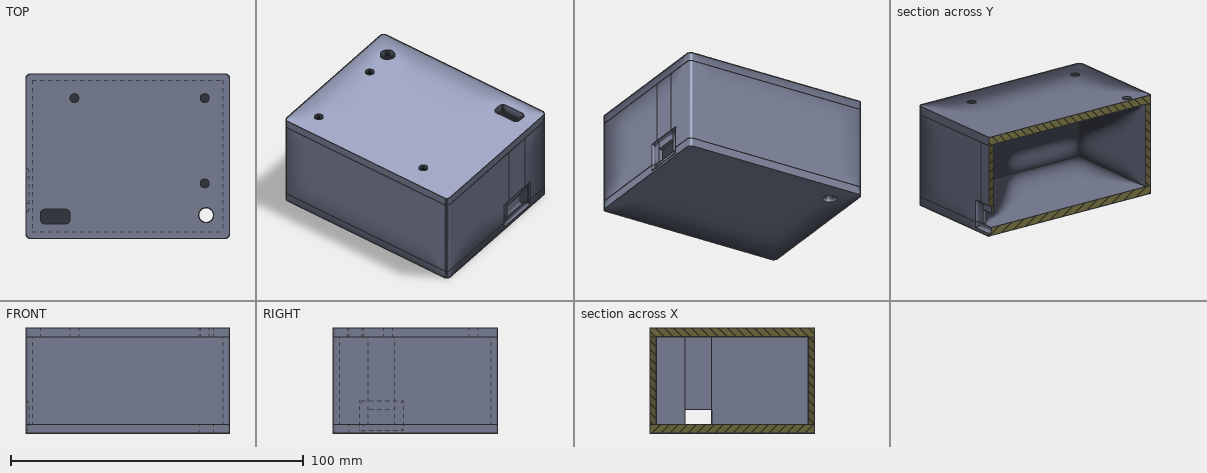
import cadquery as cq

length = 69.5
width = 56.2
height = 36.0
corner_radius = 1.5
plate_thickness = 3.05
wall_thickness = 2.2
lid_bottom = height - plate_thickness

small_hole_diameter = 3.0
small_hole_left_x = 16.55
small_hole_right_x = 61.0
small_hole_back_y = 47.95
small_hole_front_y = 18.8
small_hole_centers = [
    (small_hole_left_x, small_hole_back_y),
    (small_hole_right_x, small_hole_back_y),
    (small_hole_right_x, small_hole_front_y),
]
through_hole_diameter = 5.0
through_hole_center = (61.5, 8.0)

slot_length = 10.0
slot_width = 5.0
slot_corner_radius = 1.5
slot_center = (10.0, 7.5)

port_center_y = 16.55
strip_width = 9.05
strip_bottom = 8.1
recess_width = 15.0
recess_height = 10.0
recess_bottom = 1.05
recess_depth = 1.0
recess_fillet = recess_depth
recess_overshoot = 0.7


def rounded_block(bottom, block_height):
    """Full-footprint block with rounded vertical edges."""
    return (
        cq.Workplane("XY", origin=(0, 0, bottom))
        .box(length, width, block_height, centered=False)
        .edges("|Z")
        .fillet(corner_radius)
    )


def wall_passage(bottom, passage_height):
    """Strip-wide block spanning the thickness of the -X wall."""
    return cq.Workplane("XY", origin=(0, port_center_y - strip_width / 2, bottom)).box(
        wall_thickness, strip_width, passage_height, centered=False
    )


def make_port_recess():
    """Rectangular recess in the -X face, with a concave fillet around its flat floor."""
    center_z = recess_bottom + recess_height / 2
    return (
        cq.Workplane("YZ", origin=(-recess_overshoot, port_center_y, center_z))
        .rect(recess_width, recess_height)
        .extrude(recess_overshoot + recess_depth)
        .faces(">X")
        .edges()
        .fillet(recess_fillet)
    )


def make_through_hole():
    """Cylinder that pierces both plates."""
    return cq.Workplane("XY").center(*through_hole_center).circle(through_hole_diameter / 2).extrude(height)


def make_base_plate():
    return rounded_block(0, plate_thickness).cut(make_through_hole()).cut(make_port_recess())


def make_frame():
    """Four walls, with the -X wall open for the strip and the window."""
    frame_height = lid_bottom - plate_thickness
    cavity = cq.Workplane("XY", origin=(wall_thickness, wall_thickness, plate_thickness)).box(
        length - 2 * wall_thickness, width - 2 * wall_thickness, frame_height, centered=False
    )
    frame = rounded_block(plate_thickness, frame_height).cut(cavity)
    return frame.cut(wall_passage(plate_thickness, frame_height)).cut(make_port_recess())


def make_strip():
    """Strip that closes the wall opening above the window."""
    return wall_passage(strip_bottom, lid_bottom - strip_bottom).cut(make_port_recess())


def make_lid():
    small_holes = (
        cq.Workplane("XY", origin=(0, 0, lid_bottom))
        .pushPoints(small_hole_centers)
        .circle(small_hole_diameter / 2)
        .extrude(plate_thickness)
    )
    slot = (
        cq.Workplane("XY", origin=(*slot_center, lid_bottom))
        .rect(slot_length, slot_width)
        .extrude(plate_thickness)
        .edges("|Z")
        .fillet(slot_corner_radius)
    )
    return rounded_block(lid_bottom, plate_thickness).cut(small_holes).cut(slot).cut(make_through_hole())


base_plate = make_base_plate()
frame = make_frame()
strip = make_strip()
lid = make_lid()

result = cq.Compound.makeCompound([base_plate.val(), frame.val(), strip.val(), lid.val()])